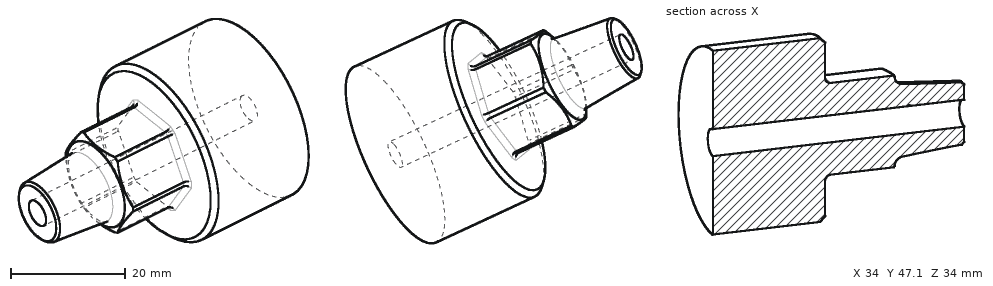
import cadquery as cq
import math

total_length = 47.1
body_radius = 17.0
body_length = 21.1
body_chamfer = 1.0

hex_flats = 17.0
hex_corner_diameter = 19.1
hex_length = 13.0
hex_root_fillet = 1.0
hex_end_radius = 8.2
hex_chamfer_angle = 30.0

tip_root_radius = 6.75
tip_end_radius = 5.8
tip_chamfer = 0.45
tip_root_fillet = 1.5
bore_diameter = 4.9

hex_end = body_length + hex_length
tip_root = hex_end + tip_root_fillet


def cross_plane(station):
    """Plane across the axis, with its normal pointing forward along -Y."""
    return cq.Workplane("XZ", origin=(0, total_length / 2 - station, 0))


def revolve_profile(points):
    """Turn a closed (radius, station) outline around the part axis."""
    outline = [(radius, total_length / 2 - station) for radius, station in points]
    return cq.Workplane("XY").polyline(outline).close().revolve(360, (0, 0), (0, 1))


def station_box(reach, station):
    """Selector for edges centred at a station and within reach of the axis."""
    y = total_length / 2 - station
    thickness = 0.05
    return cq.selectors.BoxSelector(
        (-reach, y - thickness, -reach),
        (reach, y + thickness, reach),
    )


def make_body():
    cylinder = cross_plane(0).circle(body_radius).extrude(body_length)
    return cylinder.faces("<Y").chamfer(body_chamfer)


def make_hexagon():
    """Hexagon with flats facing up and down and its corners turned round."""
    sharp_corner_diameter = hex_flats / math.cos(math.pi / 6)
    prism = cross_plane(body_length).polygon(6, sharp_corner_diameter).extrude(hex_length)
    turned = cross_plane(body_length).circle(hex_corner_diameter / 2).extrude(hex_length)
    return prism.intersect(turned)


def make_hex_end_envelope():
    """Turned shape that bevels the front corners of the hexagon."""
    bevel_slope = math.tan(math.radians(hex_chamfer_angle))
    bevel_start = hex_end - (body_radius - hex_end_radius) * bevel_slope
    return revolve_profile([
        (0, 0),
        (body_radius, 0),
        (body_radius, bevel_start),
        (hex_end_radius, hex_end),
        (0, hex_end),
    ])


def make_tip():
    """Tapered tip whose root flares out to the hexagon in a quarter round."""
    rim_start = total_length - tip_chamfer
    flare_radius = tip_root_radius + tip_root_fillet
    half_length = total_length / 2
    flare_middle = tip_root_fillet * (1 - math.sqrt(0.5))
    return (
        cq.Workplane("XY")
        .moveTo(0, half_length - hex_end)
        .lineTo(flare_radius, half_length - hex_end)
        .threePointArc(
            (tip_root_radius + flare_middle, half_length - hex_end - flare_middle),
            (tip_root_radius, half_length - tip_root),
        )
        .lineTo(tip_end_radius, half_length - rim_start)
        .lineTo(tip_end_radius - tip_chamfer, -half_length)
        .lineTo(0, -half_length)
        .close()
        .revolve(360, (0, 0), (0, 1))
    )


hexagon = make_hexagon().intersect(make_hex_end_envelope())
result = make_body().union(hexagon)

root_edges = station_box(hex_flats, body_length) - station_box(0.45, body_length)
result = result.edges(root_edges).fillet(hex_root_fillet)
result = result.union(make_tip())

bore = cross_plane(0).circle(bore_diameter / 2).extrude(total_length)
result = result.cut(bore)